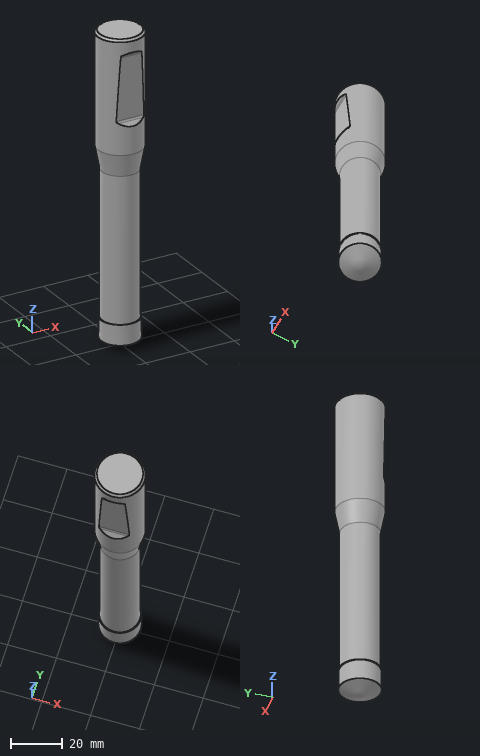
import cadquery as cq
import math

length = 136.5
shank_diameter = 20.0

shank_length = 50.0
shoulder_length = 10.0
neck_diameter = 16.2
end_chamfer = 1.0

head_length = 9.0
head_top_diameter = 16.9
head_tip_diameter = 17.0
point_angle = 140.0

notch_top_depth = 1.19
notch_tilt = 2.0
notch_top_gap = 7.1
notch_floor_length = 28.7
notch_corner_radius = 1.2
notch_clearance = 1.4

shank_radius = shank_diameter / 2
neck_radius = neck_diameter / 2
head_top_radius = head_top_diameter / 2
head_tip_radius = head_tip_diameter / 2

point_height = head_tip_radius / math.tan(math.radians(point_angle / 2))
head_top_z = point_height + head_length
shank_bottom_z = length - shank_length
shoulder_bottom_z = shank_bottom_z - shoulder_length


def revolve_about_z(profile):
    """Turn a closed (radius, z) outline about the Z axis."""
    return cq.Workplane("XZ").polyline(profile).close().revolve(360, (0, 0), (0, 1))


def notch_cutter():
    """Trapezoidal prism across X, on the -Y side of the shank."""
    top_z = length - notch_top_gap
    bottom_z = top_z - notch_floor_length
    bottom_depth = notch_top_depth + notch_floor_length * math.tan(math.radians(notch_tilt))
    outer_y = -shank_radius - notch_clearance
    floor_corners = [
        (-shank_radius + bottom_depth, bottom_z),
        (-shank_radius + notch_top_depth, top_z),
    ]
    outer_corners = [
        (outer_y, top_z + notch_top_depth + notch_clearance),
        (outer_y, bottom_z - bottom_depth - notch_clearance),
    ]
    cutter = (
        cq.Workplane("YZ")
        .polyline(floor_corners + outer_corners)
        .close()
        .extrude(shank_radius, both=True)
    )
    inner_corners = cutter.edges("|X").edges(cq.selectors.BoxSelector(
        (-shank_radius, -shank_radius, 0), (shank_radius, 0, length)))
    return inner_corners.fillet(notch_corner_radius)


def make_shank():
    profile = [
        (0, head_top_z),
        (neck_radius, head_top_z),
        (neck_radius, shoulder_bottom_z),
        (shank_radius, shank_bottom_z),
        (shank_radius, length - end_chamfer),
        (shank_radius - end_chamfer, length),
        (0, length),
    ]
    return revolve_about_z(profile).cut(notch_cutter())


def make_cutting_head():
    profile = [
        (0, 0),
        (head_tip_radius, point_height),
        (head_top_radius, head_top_z),
        (0, head_top_z),
    ]
    return revolve_about_z(profile)


shank = make_shank()
cutting_head = make_cutting_head()

result = cq.Compound.makeCompound([shank.val(), cutting_head.val()])